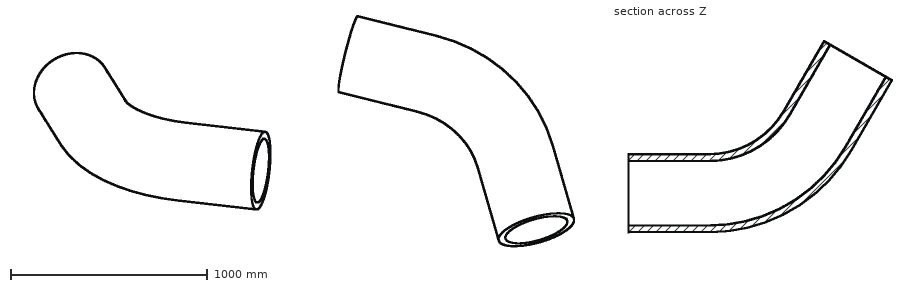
import cadquery as cq
import math

OUTER_DIAMETER = 400.0
INNER_DIAMETER = 327.4
BEND_ANGLE = 60.0
BEND_RADIUS = 637.0
END_TO_CORNER = 780.0

LEG_LENGTH = END_TO_CORNER - BEND_RADIUS * math.tan(math.radians(BEND_ANGLE / 2))


def along_bend(angle):
    """Point on the bend's centre line after turning through angle degrees."""
    turn = math.radians(angle)
    return (LEG_LENGTH + BEND_RADIUS * math.sin(turn), BEND_RADIUS * (1 - math.cos(turn)))


def centre_line():
    """Straight leg along +X, tangent arc, then a second straight leg."""
    bend_end = along_bend(BEND_ANGLE)
    direction = math.radians(BEND_ANGLE)
    pipe_end = (
        bend_end[0] + LEG_LENGTH * math.cos(direction),
        bend_end[1] + LEG_LENGTH * math.sin(direction),
    )
    return (
        cq.Workplane("XY")
        .lineTo(LEG_LENGTH, 0)
        .threePointArc(along_bend(BEND_ANGLE / 2), bend_end)
        .lineTo(*pipe_end)
    )


wall_section = cq.Workplane("YZ").circle(OUTER_DIAMETER / 2).circle(INNER_DIAMETER / 2)
result = wall_section.sweep(centre_line())